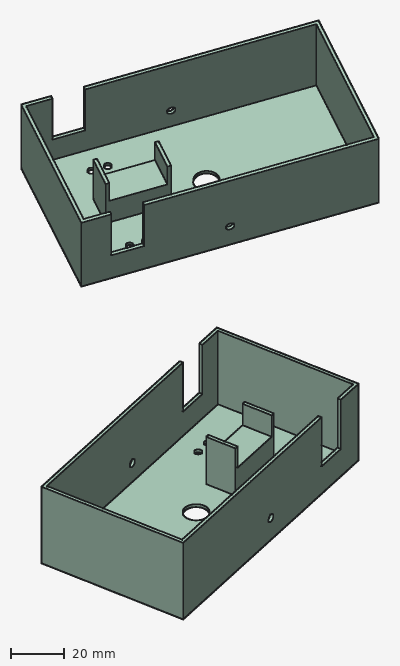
import cadquery as cq

width = 63.0
length = 118.0
height = 35.5
cavity_width = 60.1
wall = (width - cavity_width) / 2
floor = wall

floor_hole_diameter = 10.0
floor_hole_y = 2.6
screw_hole_diameter = 3.1
screw_hole_x = 20.0
screw_hole_pitch = 6.5
screw_row_y = -32.2
side_hole_diameter = 3.3
side_hole_z = 10.1

slot_width = 13.0
slot_center_y = -40.6
slot_bottom_z = 12.7

cradle_width = 13.0
cradle_length = 26.0
cradle_center_y = -26.9
plate_thickness = wall
seat_z = 13.5
plate_top_z = 23.4


def make_shell():
    outer = cq.Workplane("XY").box(width, length, height, centered=(True, True, False))
    cavity = (
        cq.Workplane("XY", origin=(0, 0, floor))
        .box(cavity_width, length - 2 * wall, height, centered=(True, True, False))
    )
    return outer.cut(cavity)


def make_side_slots():
    return (
        cq.Workplane("XY", origin=(0, slot_center_y, slot_bottom_z))
        .box(2 * width, slot_width, height, centered=(True, True, False))
    )


def make_side_holes():
    return (
        cq.Workplane("YZ", origin=(0, 0, side_hole_z))
        .circle(side_hole_diameter / 2)
        .extrude(width, both=True)
    )


def make_floor_holes():
    screw_points = [
        (side * screw_hole_x, screw_row_y + end * screw_hole_pitch / 2)
        for side in (-1, 1)
        for end in (-1, 1)
    ]
    screw_holes = (
        cq.Workplane("XY").pushPoints(screw_points).circle(screw_hole_diameter / 2).extrude(floor)
    )
    large_hole = (
        cq.Workplane("XY").center(0, floor_hole_y).circle(floor_hole_diameter / 2).extrude(floor)
    )
    return screw_holes.union(large_hole)


def make_cradle():
    block = (
        cq.Workplane("XY", origin=(0, cradle_center_y, 0))
        .box(cradle_width, cradle_length, plate_top_z, centered=(True, True, False))
    )
    gap = (
        cq.Workplane("XY", origin=(0, cradle_center_y, seat_z))
        .box(
            cradle_width,
            cradle_length - 2 * plate_thickness,
            plate_top_z - seat_z,
            centered=(True, True, False),
        )
    )
    return block.cut(gap)


shell = make_shell().cut(make_side_slots()).cut(make_side_holes()).cut(make_floor_holes())
result = shell.union(make_cradle())